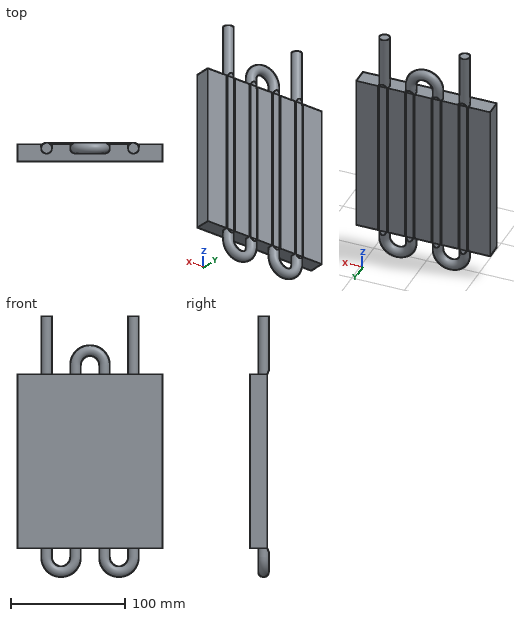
import cadquery as cq

plate_width = 127.0
plate_height = 152.7
plate_thickness = 15.3

tube_diameter = 9.5
tube_radius = tube_diameter / 2
leg_pitch = 25.4
bend_radius = leg_pitch / 2
leg_xs = [(i - 1.5) * leg_pitch for i in range(4)]
overall_depth = 16.7
overall_height = 228.5
tube_y = overall_depth - tube_radius
bend_offset = 7.8
lower_bend_z = -bend_offset
upper_bend_z = plate_height + bend_offset
tube_end_z = overall_height + lower_bend_z - bend_radius - tube_radius

ramp_length = 3.5


def slot_cutter(x):
    """Round-bottomed slot of tube width, open through the back face."""
    bottom = cq.Workplane("XY").center(x, tube_y).circle(tube_radius).extrude(plate_height)
    mouth = (
        cq.Workplane("XY")
        .center(x, tube_y + tube_radius / 2)
        .rect(tube_diameter, tube_radius)
        .extrude(plate_height)
    )
    return bottom.union(mouth)


def make_plate():
    plate = cq.Workplane("XY").box(
        plate_width, plate_thickness, plate_height, centered=(True, False, False)
    )
    for x in leg_xs:
        plate = plate.cut(slot_cutter(x))
    return plate


def make_round_tube():
    left, inner_left, inner_right, right = leg_xs
    path = (
        cq.Workplane("XZ", origin=(0, tube_y, 0))
        .moveTo(left, tube_end_z)
        .lineTo(left, lower_bend_z)
        .threePointArc((left + bend_radius, lower_bend_z - bend_radius), (inner_left, lower_bend_z))
        .lineTo(inner_left, upper_bend_z)
        .threePointArc((0, upper_bend_z + bend_radius), (inner_right, upper_bend_z))
        .lineTo(inner_right, lower_bend_z)
        .threePointArc((right - bend_radius, lower_bend_z - bend_radius), (right, lower_bend_z))
        .lineTo(right, tube_end_z)
    )
    return (
        cq.Workplane("XY", origin=(left, tube_y, tube_end_z)).circle(tube_radius).sweep(path)
    )


def pressing_cutter():
    """Slope-ended block that takes the crest off the legs down to the plate's back face."""
    return (
        cq.Workplane("YZ")
        .polyline([
            (overall_depth, -ramp_length),
            (plate_thickness, 0),
            (plate_thickness, plate_height),
            (overall_depth, plate_height + ramp_length),
        ])
        .close()
        .extrude(plate_width / 2, both=True)
    )


def make_tube():
    return make_round_tube().cut(pressing_cutter())


plate = make_plate()
tube = make_tube()
result = cq.Compound.makeCompound([plate.val(), *tube.vals()])